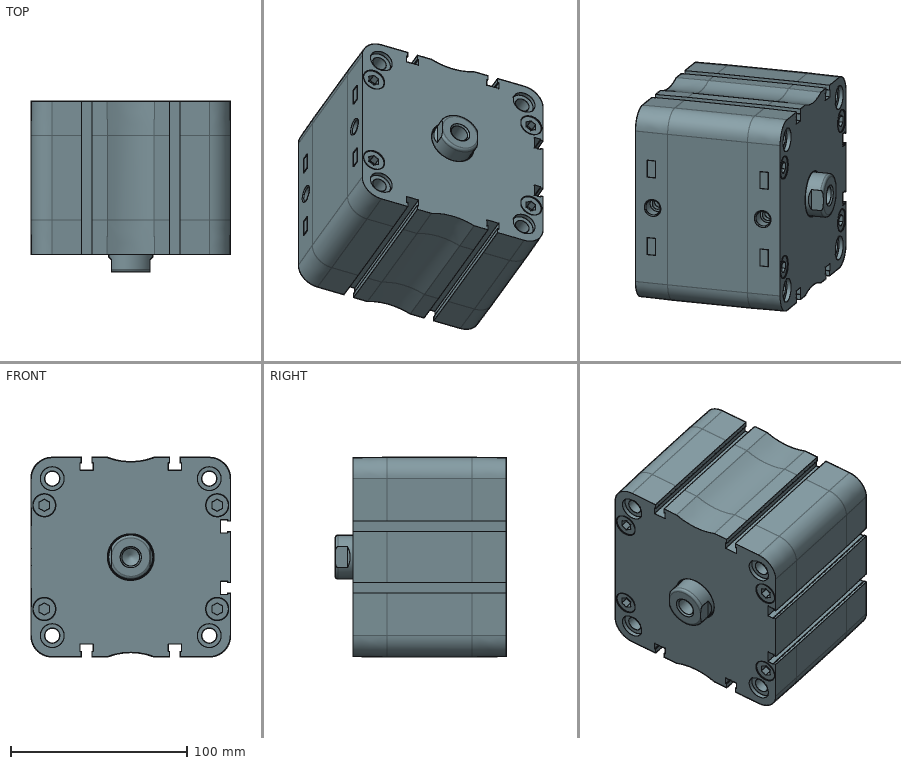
import cadquery as cq
import math


BODY_WIDTH = 113.3
BODY_LENGTH = 87.0
CAP_LENGTH = 19.5
CAP_DRAFT = 0.7
MOUNT_OFFSET = 44.5
HALF_WIDTH = BODY_WIDTH / 2
CORNER_RADIUS = HALF_WIDTH - MOUNT_OFFSET
BARREL_LENGTH = BODY_LENGTH - 2 * CAP_LENGTH
MID_Y = BODY_LENGTH / 2

HOLLOW_HALF_WIDTH = 13.3
HOLLOW_DEPTH = 2.5

SLOT_OPENING = 6.0
SLOT_UNDERCUT = 7.4
TOP_SLOT_X = 25.0
TOP_SLOT_DEPTH = 7.3
TOP_SLOT_LIP = 3.2
SIDE_SLOT_Z = 17.4
SIDE_SLOT_DEPTH = 5.7
SIDE_SLOT_LIP = 1.8

MOUNT_DIAMETER = 8.38
MOUNT_BORE_DIAMETER = 13.5
MOUNT_BORE_DEPTH = 2.5

SCREW_X = 49.0
SCREW_Z = 29.4
SCREW_POCKET_DIAMETER = 13.1
SCREW_HEAD_DIAMETER = 12.7
SCREW_HEAD_RECESS = 0.5
SCREW_POCKET_DEPTH = 6.5
HEX_ACROSS_FLATS = 6.0
HEX_DEPTH = 5.0

PORT_Y = 10.4
PORT_RIM_DIAMETER = 9.98
PORT_THREAD_DIAMETER = 8.57
PORT_THREAD_DEPTH = 8.0
PORT_PASSAGE_DIAMETER = 6.0
PORT_DEPTH = 12.0

LABEL_Y = 9.6
LABEL_Z = 22.9
LABEL_WIDTH = 5.0
LABEL_HEIGHT = 10.0
LABEL_FLOOR_X = -56.2

ROD_DIAMETER = 25.0
ROD_LENGTH = 10.0
ROD_TIP_RADIUS = 1.6
ROD_CLEARANCE_DIAMETER = 25.5
ROD_CLEARANCE_DEPTH = 2.0
ROD_CLEARANCE_CHAMFER = 0.5
FLATS_WIDTH = 22.0
FLATS_LENGTH = 7.0
ROD_RIM_DIAMETER = 12.0
ROD_THREAD_DIAMETER = 10.11
ROD_THREAD_DEPTH = 18.0
DRILL_TIP_ANGLE = 118.0


def facing_front(y):
    """Workplane at the given Y, extruding toward -Y, with local axes X and Z."""
    return cq.Workplane("XZ", origin=(0, y, 0))


def corners(x, z):
    """The four points (+-x, +-z)."""
    return [(sx * x, sz * z) for sx in (-1, 1) for sz in (-1, 1)]


def body_outline(y):
    """Rounded square with an arc-shaped hollow in the top and bottom sides."""
    round_point = MOUNT_OFFSET + CORNER_RADIUS * math.sqrt(0.5)
    hollow_floor = HALF_WIDTH - HOLLOW_DEPTH
    return (
        facing_front(y)
        .moveTo(-MOUNT_OFFSET, HALF_WIDTH)
        .lineTo(-HOLLOW_HALF_WIDTH, HALF_WIDTH)
        .threePointArc((0, hollow_floor), (HOLLOW_HALF_WIDTH, HALF_WIDTH))
        .lineTo(MOUNT_OFFSET, HALF_WIDTH)
        .threePointArc((round_point, round_point), (HALF_WIDTH, MOUNT_OFFSET))
        .lineTo(HALF_WIDTH, -MOUNT_OFFSET)
        .threePointArc((round_point, -round_point), (MOUNT_OFFSET, -HALF_WIDTH))
        .lineTo(HOLLOW_HALF_WIDTH, -HALF_WIDTH)
        .threePointArc((0, -hollow_floor), (-HOLLOW_HALF_WIDTH, -HALF_WIDTH))
        .lineTo(-MOUNT_OFFSET, -HALF_WIDTH)
        .threePointArc((-round_point, -round_point), (-HALF_WIDTH, -MOUNT_OFFSET))
        .lineTo(-HALF_WIDTH, MOUNT_OFFSET)
        .threePointArc((-round_point, round_point), (-MOUNT_OFFSET, HALF_WIDTH))
        .close()
    )


def make_body():
    barrel = body_outline(BODY_LENGTH - CAP_LENGTH).extrude(BARREL_LENGTH)
    front_cap = body_outline(CAP_LENGTH).extrude(CAP_LENGTH, taper=CAP_DRAFT)
    rear_cap = front_cap.mirror("XZ", (0, MID_Y, 0))
    return barrel.union(front_cap).union(rear_cap)


def slot_cutter(offset, depth, lip):
    """T-shaped slot in the top face, centred at X = offset, along the whole body."""
    base = facing_front(BODY_LENGTH).center(offset, HALF_WIDTH - depth)
    opening = base.rect(SLOT_OPENING, depth, centered=(True, False)).extrude(BODY_LENGTH)
    undercut = base.rect(SLOT_UNDERCUT, depth - lip, centered=(True, False)).extrude(BODY_LENGTH)
    return opening.union(undercut)


def cut_slots(body):
    for side in (-1, 1):
        top_slot = slot_cutter(side * TOP_SLOT_X, TOP_SLOT_DEPTH, TOP_SLOT_LIP)
        side_slot = slot_cutter(side * SIDE_SLOT_Z, SIDE_SLOT_DEPTH, SIDE_SLOT_LIP)
        body = body.cut(top_slot).cut(top_slot.mirror("XY"))
        body = body.cut(side_slot.rotate((0, 0, 0), (0, 1, 0), 90))
    return body


def cut_mounting_holes(body):
    places = corners(MOUNT_OFFSET, MOUNT_OFFSET)
    holes = facing_front(BODY_LENGTH).pushPoints(places).circle(MOUNT_DIAMETER / 2).extrude(BODY_LENGTH)
    bores = (
        facing_front(MOUNT_BORE_DEPTH)
        .pushPoints(places)
        .circle(MOUNT_BORE_DIAMETER / 2)
        .extrude(MOUNT_BORE_DEPTH)
    )
    return body.cut(holes).cut(bores)


def cut_cap_screws(body):
    """Leave each screw head as an island with a thin gap around it and a hex socket."""
    places = corners(SCREW_X, SCREW_Z)
    gaps = (
        facing_front(SCREW_POCKET_DEPTH)
        .pushPoints(places)
        .circle(SCREW_POCKET_DIAMETER / 2)
        .circle(SCREW_HEAD_DIAMETER / 2)
        .extrude(SCREW_POCKET_DEPTH)
    )
    recesses = (
        facing_front(SCREW_HEAD_RECESS)
        .pushPoints(places)
        .circle(SCREW_POCKET_DIAMETER / 2)
        .extrude(SCREW_HEAD_RECESS)
    )
    hex_radius = HEX_ACROSS_FLATS / math.sqrt(3)
    hex_points = [
        (hex_radius * math.sin(math.radians(a)), hex_radius * math.cos(math.radians(a)))
        for a in range(0, 360, 60)
    ]
    body = body.cut(gaps).cut(recesses)
    socket_floor = SCREW_HEAD_RECESS + HEX_DEPTH
    for x, z in places:
        outline = facing_front(socket_floor).center(x, z).polyline(hex_points).close()
        socket = outline.extrude(socket_floor)
        body = body.cut(socket)
    return body


def cut_ports(body):
    rim_radius = PORT_RIM_DIAMETER / 2
    thread_radius = PORT_THREAD_DIAMETER / 2
    passage_radius = PORT_PASSAGE_DIAMETER / 2
    face_x = HALF_WIDTH - (CAP_LENGTH - PORT_Y) * math.tan(math.radians(CAP_DRAFT))
    chamfer = rim_radius - thread_radius
    for y in (PORT_Y, BODY_LENGTH - PORT_Y):
        port = (
            cq.Workplane("XY", origin=(0, y, 0))
            .moveTo(-HALF_WIDTH, 0)
            .lineTo(-HALF_WIDTH, rim_radius)
            .lineTo(-face_x, rim_radius)
            .lineTo(-face_x + chamfer, thread_radius)
            .lineTo(-face_x + PORT_THREAD_DEPTH, thread_radius)
            .lineTo(-face_x + PORT_THREAD_DEPTH, passage_radius)
            .lineTo(-face_x + PORT_DEPTH, passage_radius)
            .lineTo(-face_x + PORT_DEPTH, 0)
            .close()
            .revolve(360, (0, 0, 0), (1, 0, 0))
        )
        body = body.cut(port)
    return body


def cut_labels(body):
    recess_depth = HALF_WIDTH + LABEL_FLOOR_X
    for y in (LABEL_Y, BODY_LENGTH - LABEL_Y):
        for z in (-LABEL_Z, LABEL_Z):
            recess = cq.Workplane("XY").box(recess_depth, LABEL_WIDTH, LABEL_HEIGHT)
            body = body.cut(recess.translate((LABEL_FLOOR_X - recess_depth / 2, y, z)))
    return body


def make_rod():
    """Rod from the floor of its clearance groove to the tip, with wrench flats."""
    rod_radius = ROD_DIAMETER / 2
    rod = (
        facing_front(ROD_CLEARANCE_DEPTH)
        .circle(rod_radius)
        .extrude(ROD_CLEARANCE_DEPTH + ROD_LENGTH)
        .faces("<Y")
        .edges()
        .fillet(ROD_TIP_RADIUS)
    )
    flat_x = FLATS_WIDTH / 2
    flat_step = rod_radius - flat_x
    flat_start = FLATS_LENGTH - ROD_LENGTH
    flat = (
        cq.Workplane("XY")
        .moveTo(flat_x, -ROD_LENGTH)
        .lineTo(flat_x, flat_start)
        .lineTo(rod_radius, flat_start + flat_step)
        .lineTo(rod_radius, -ROD_LENGTH)
        .close()
        .extrude(rod_radius, both=True)
    )
    return rod.cut(flat).cut(flat.mirror("YZ"))


def rod_thread_cutter():
    """Chamfered threaded hole with a drill-point bottom, on the rod axis."""
    rim_radius = ROD_RIM_DIAMETER / 2
    thread_radius = ROD_THREAD_DIAMETER / 2
    bottom_y = ROD_THREAD_DEPTH - ROD_LENGTH
    tip_length = thread_radius / math.tan(math.radians(DRILL_TIP_ANGLE / 2))
    return (
        cq.Workplane("XY")
        .moveTo(0, -ROD_LENGTH)
        .lineTo(rim_radius, -ROD_LENGTH)
        .lineTo(thread_radius, -ROD_LENGTH + rim_radius - thread_radius)
        .lineTo(thread_radius, bottom_y)
        .lineTo(0, bottom_y + tip_length)
        .close()
        .revolve(360, (0, 0, 0), (0, 1, 0))
    )


def add_rod(body):
    clearance = (
        facing_front(ROD_CLEARANCE_DEPTH)
        .circle(ROD_CLEARANCE_DIAMETER / 2)
        .extrude(ROD_CLEARANCE_DEPTH)
    )
    rim_radius = ROD_CLEARANCE_DIAMETER / 2 + ROD_CLEARANCE_CHAMFER
    rim = facing_front(0).circle(rim_radius).extrude(-ROD_CLEARANCE_CHAMFER, taper=45)
    return body.cut(clearance).cut(rim).union(make_rod()).cut(rod_thread_cutter())


body = make_body()
body = cut_slots(body)
body = cut_mounting_holes(body)
body = cut_cap_screws(body)
body = cut_ports(body)
body = cut_labels(body)
result = add_rod(body)